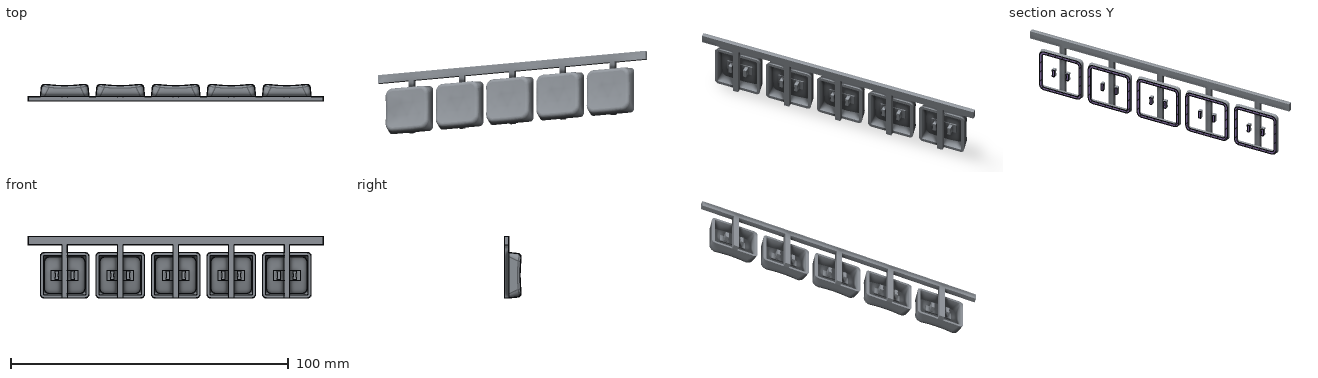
import cadquery as cq

rail_length = 106.36
rail_height = 3.0
sprue_height = 22.18
sprue_thickness = 1.6
stem_width = 2.0

cap_count = 5
cap_pitch = 20.0

cap_width = 17.6
cap_height = 16.4
rim_corner_radius = 1.5
blank_depth = 5.5
blank_inset = 0.55
blank_corner_radius = 3.6
dish_radius = 47.0
dish_floor = 3.48
dish_edge_fillet = 1.1

wall = 1.1
hollow_corner_radius = 0.5
hollow_side_inset = 0.8
hollow_end_inset = 1.0
hollow_top_corner_radius = 2.2
shell_thickness = 1.05

pad_width = 9.7
pad_height = 3.6
pad_level = 2.15
prong_spacing = 5.7
prong_width = 1.2
prong_height = 3.0
prong_waist = 0.1
prong_end_land = 0.4
prong_level = 0.0

cap_positions = [cap_pitch * (i - (cap_count - 1) / 2) for i in range(cap_count)]
cap_centre_z = cap_height / 2 - sprue_height / 2


def slab(width, height, y_start, y_end, z_centre=0.0):
    """Block centred on X, spanning y_start to y_end."""
    depth = y_end - y_start
    block = cq.Workplane("XY").box(width, depth, height)
    return block.translate((0, (y_start + y_end) / 2, z_centre))


def tapered_block(width, height, radius, side_inset, end_inset, top_radius):
    """Rounded block narrowing by the given inset on each wall from the rim over the blank depth."""
    rim = cq.Sketch().rect(width, height).vertices().fillet(radius)
    top = cq.Sketch().rect(width - 2 * side_inset, height - 2 * end_inset)
    top = top.vertices().fillet(top_radius).reset()
    top = top.moved(cq.Location(cq.Vector(0, 0, -blank_depth)))
    return cq.Workplane("XZ").placeSketch(rim, top).loft(ruled=True)


def dish_ball(floor):
    """Sphere whose lowest point is at the given distance from the rim."""
    return cq.Workplane("XY").sphere(dish_radius).translate((0, floor + dish_radius, 0))


def prong():
    """Prong running from the pad face to its tip, with hollowed left and right sides."""
    half_width = prong_width / 2
    half_height = prong_height / 2
    hollow_end = half_height - prong_end_land
    waist = half_width - prong_waist
    outline = (
        cq.Workplane("XZ", origin=(0, prong_level, 0))
        .moveTo(-half_width, -half_height)
        .lineTo(half_width, -half_height)
        .lineTo(half_width, -hollow_end)
        .threePointArc((waist, 0), (half_width, hollow_end))
        .lineTo(half_width, half_height)
        .lineTo(-half_width, half_height)
        .lineTo(-half_width, hollow_end)
        .threePointArc((-waist, 0), (-half_width, -hollow_end))
        .close()
    )
    return outline.extrude(-(pad_level - prong_level))


def keycap():
    """Keycap with its rim centre at the origin, opening towards -Y."""
    body = tapered_block(
        cap_width,
        cap_height,
        rim_corner_radius,
        blank_inset,
        blank_inset,
        blank_corner_radius,
    )
    body = body.cut(dish_ball(dish_floor))
    body = body.faces(">Y").edges().fillet(dish_edge_fillet)

    hollow = tapered_block(
        cap_width - 2 * wall,
        cap_height - 2 * wall,
        hollow_corner_radius,
        hollow_side_inset,
        hollow_end_inset,
        hollow_top_corner_radius,
    )
    ceiling_level = dish_floor - shell_thickness
    body = body.cut(hollow.cut(dish_ball(ceiling_level)))

    pad_root = ceiling_level + shell_thickness / 2
    body = body.union(slab(pad_width, pad_height, pad_level, pad_root))
    for side in (-1, 1):
        body = body.union(prong().translate((side * prong_spacing / 2, 0, 0)))
    return body


def sprue():
    """Rail and stems, with the front face at Y = 0."""
    rail = slab(rail_length, rail_height, 0, sprue_thickness, (sprue_height - rail_height) / 2)
    stem = slab(stem_width, sprue_height, 0, sprue_thickness)
    for x in cap_positions:
        rail = rail.union(stem.translate((x, 0, 0)))
    return rail


result = sprue()
cap = keycap()
for x in cap_positions:
    result = result.union(cap.translate((x, sprue_thickness, cap_centre_z)))